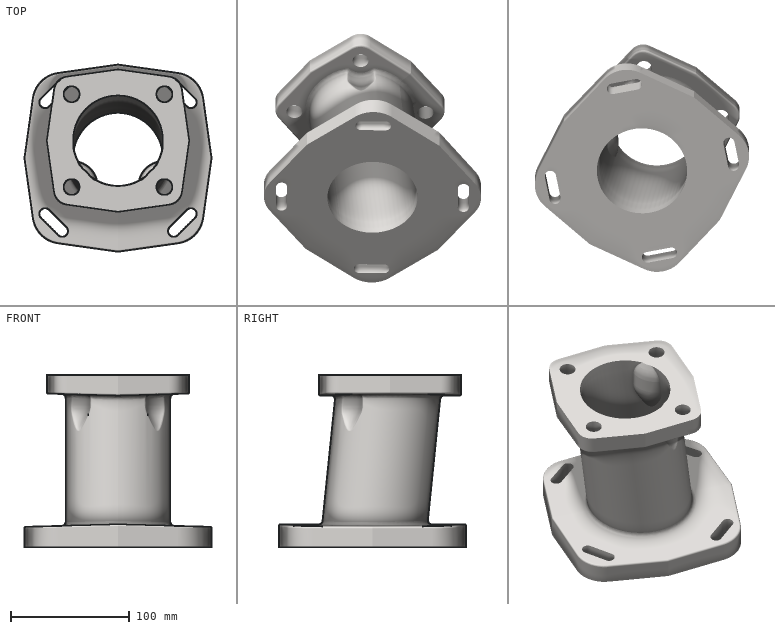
import cadquery as cq
import math

INCH = 25.4

total_height = 5.75 * INCH
flange_offset_y = 14.85

side_peak_angle = 8.0
base_half_width = 3.125 * INCH
base_corner_radius = 1.0 * INCH
top_half_width = 2.375 * INCH
top_corner_radius = 0.5 * INCH

roof_angle = 1.5
base_eave_thickness = 0.6875 * INCH
top_eave_thickness = 0.625 * INCH
flange_rim_fillet = 0.0625 * INCH

tube_outer_radius = 1.75 * INCH
bore_radius = 1.5 * INCH
tube_fillet = 0.125 * INCH
tube_end_inset = 8.0
bore_overlap = 10.0

slot_circle_radius = 77.1
slot_width = 0.375 * INCH
slot_center_distance = 20.6
top_bolt_circle_radius = 2.1875 * INCH
top_hole_diameter = 13.5

relief_radius = 0.625 * INCH
relief_barrel_bottom_z = 120.0
relief_barrel_top_z = 131.8
relief_shoulder_radius = 17.3
relief_cone_angle = 25.0
relief_wall = 0.25 * INCH
relief_rim_fillet = 0.0625 * INCH

tilt_angle = math.degrees(math.atan2(flange_offset_y, total_height))
top_bolt_offset = top_bolt_circle_radius / math.sqrt(2)
relieved_bolt_y = flange_offset_y - top_bolt_offset
relief_axis = (top_bolt_offset, relieved_bolt_y, 0)
top_eave_z = total_height - top_eave_thickness
edge_margin = 2.0


def flange_prism(half_width, corner_radius, height):
    """Upright prism with the peaked square outline, standing on Z = 0."""
    corner = half_width / (1 + math.tan(math.radians(side_peak_angle)))
    reach = half_width - corner
    outline = [
        (half_width, 0), (corner, corner),
        (0, half_width), (-corner, corner),
        (-half_width, 0), (-corner, -corner),
        (0, -half_width), (corner, -corner),
    ]
    prism = cq.Workplane("XY").polyline(outline).close().extrude(height)
    for x in (-corner, corner):
        for y in (-corner, corner):
            around_corner = cq.selectors.BoxSelector(
                (x - reach, y - reach, 0),
                (x + reach, y + reach, height),
            )
            prism = prism.edges("|Z").edges(around_corner).fillet(corner_radius)
    return prism


def flange(half_width, corner_radius, eave_thickness):
    """Flange with its flat face on Z = 0 and its roof face up, rim rounded."""
    ridge_thickness = eave_thickness + half_width * math.tan(math.radians(roof_angle))
    roof = (
        cq.Workplane("XZ")
        .moveTo(-half_width, 0)
        .lineTo(half_width, 0)
        .lineTo(half_width, eave_thickness)
        .lineTo(0, ridge_thickness)
        .lineTo(-half_width, eave_thickness)
        .close()
        .extrude(half_width, both=True)
    )
    body = flange_prism(half_width, corner_radius, ridge_thickness).intersect(roof)
    roof_rim = body.edges("not(|Z or |Y or <Z)")
    return roof_rim.fillet(flange_rim_fillet)


def leaning_cylinder(radius, overlap):
    """Cylinder along the line of flange centres, longer at each end by the overlap."""
    length = math.hypot(total_height, flange_offset_y)
    return (
        cq.Workplane("XY")
        .workplane(offset=-overlap)
        .circle(radius)
        .extrude(length + 2 * overlap)
        .rotate((0, 0, 0), (1, 0, 0), -tilt_angle)
    )


def relief_spindle(growth):
    """Barrel with shouldered cones at both ends, on the +X relieved bolt axis.

    The growth offsets the whole surface outward."""
    cone_angle = math.radians(relief_cone_angle)
    radius = relief_radius + growth
    shoulder_radius = relief_shoulder_radius + growth
    shoulder_center_r = radius - shoulder_radius

    def shoulder(angle):
        r = shoulder_center_r + shoulder_radius * math.cos(angle)
        rise = shoulder_radius * math.sin(angle)
        return r, rise

    mid_r, mid_rise = shoulder(cone_angle / 2)
    cone_r, cone_rise = shoulder(cone_angle)
    tip_rise = cone_rise + cone_r / math.tan(cone_angle)
    return (
        cq.Workplane("XZ")
        .moveTo(0, relief_barrel_bottom_z - tip_rise)
        .lineTo(cone_r, relief_barrel_bottom_z - cone_rise)
        .threePointArc(
            (mid_r, relief_barrel_bottom_z - mid_rise),
            (radius, relief_barrel_bottom_z),
        )
        .lineTo(radius, relief_barrel_top_z)
        .threePointArc(
            (mid_r, relief_barrel_top_z + mid_rise),
            (cone_r, relief_barrel_top_z + cone_rise),
        )
        .lineTo(0, relief_barrel_top_z + tip_rise)
        .close()
        .revolve()
        .translate(relief_axis)
    )


def right_half(body):
    """The part of a body on the +X side of the symmetry plane."""
    size = 4 * base_half_width
    half_space = cq.Workplane("XY").box(size, size, size, centered=(False, True, True))
    return body.intersect(half_space)


def edges_within(body, x_range, y_range, z_range):
    """Edges of a body that lie wholly inside the given ranges."""
    low_corner, high_corner = zip(x_range, y_range, z_range)
    return body.edges(cq.selectors.BoxSelector(low_corner, high_corner, boundingbox=True))


def fillet_relief_rim(body):
    """Round the edge where the relief breaks out through the tube wall."""
    rim = edges_within(
        body,
        (top_bolt_offset - relief_radius - edge_margin, top_bolt_offset + edge_margin),
        (relieved_bolt_y - edge_margin, relieved_bolt_y + relief_radius + edge_margin),
        (base_half_width, top_eave_z),
    )
    return rim.edges("not(%CIRCLE or %ELLIPSE)").fillet(relief_rim_fillet)


def fillet_tube_ends(body):
    """Round the joints of the tube, and of its relief, with both flanges."""
    x_range = (-edge_margin, tube_outer_radius + edge_margin)
    y_range = (-tube_outer_radius, flange_offset_y + tube_outer_radius)
    ridge_rise = base_half_width * math.tan(math.radians(roof_angle))
    base_z_range = (base_eave_thickness, base_eave_thickness + ridge_rise + edge_margin)
    top_z_range = (top_eave_z - ridge_rise - edge_margin, top_eave_z)
    for z_range in (base_z_range, top_z_range):
        joint = edges_within(body, x_range, y_range, z_range)
        joint = joint.edges("%ELLIPSE or %BSPLINE")
        body = joint.fillet(tube_fillet)
    return body


def outer_half():
    """+X half of the flanges and the solid tube, relieved and filleted."""
    base_flange = flange(base_half_width, base_corner_radius, base_eave_thickness)
    top_flange = (
        flange(top_half_width, top_corner_radius, top_eave_thickness)
        .rotate((0, 0, 0), (0, 1, 0), 180)
        .translate((0, flange_offset_y, total_height))
    )
    solid_tube = leaning_cylinder(tube_outer_radius, -tube_end_inset)
    relieved_tube = solid_tube.cut(relief_spindle(0))
    body = right_half(base_flange.union(relieved_tube).union(top_flange))
    return fillet_tube_ends(fillet_relief_rim(body))


def cut_bore(body):
    """Bore through both flanges, leaving a wall around the relief."""
    bore = leaning_cylinder(bore_radius, bore_overlap)
    return body.cut(bore.cut(relief_spindle(relief_wall)))


def cut_base_slots(body):
    """Four adjusting slots, set square to the diagonals of the base."""
    slots = (
        cq.Workplane("XY")
        .polarArray(slot_circle_radius, 45, 360, 4)
        .slot2D(slot_center_distance + slot_width, slot_width, 90)
        .extrude(2 * base_eave_thickness)
    )
    return body.cut(slots)


def cut_top_holes(body):
    """Four bolt holes through the top flange."""
    holes = (
        cq.Workplane("XY")
        .workplane(offset=total_height)
        .center(0, flange_offset_y)
        .rect(2 * top_bolt_offset, 2 * top_bolt_offset, forConstruction=True)
        .vertices()
        .circle(top_hole_diameter / 2)
        .extrude(-1.25 * top_eave_thickness)
    )
    return body.cut(holes)


half = cut_bore(outer_half())
whole = half.union(half.mirror("YZ")).clean()
result = cut_top_holes(cut_base_slots(whole))